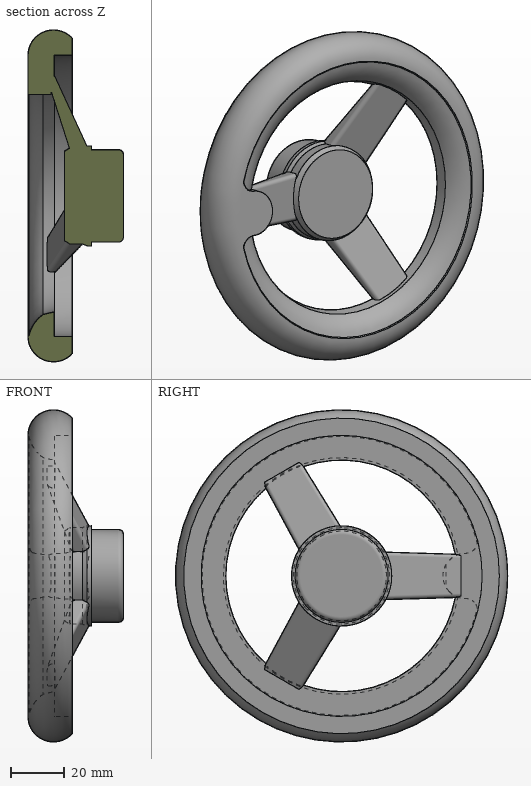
import cadquery as cq
import math


outer_radius = 62.5
rim_section_radius = 9.6
rim_centre_radius = outer_radius - rim_section_radius
rim_back = 16.7

step_width = 0.4
step_depth = 0.4
web_middle_x = 2.1
web_middle_radius = 48.2
bore_edge_x = 5.7
bore_edge_radius = 44.5
bore_radius = 43.5
web_back = 10.0

hub_front = 13.7
hub_back = 36.0
neck_radius = 18.1
front_chamfer_width = 1.2
front_chamfer_length = 2.0
neck_end = 20.5
flange_front = 22.2
flange_back = 24.0
flange_radius = 18.9
shank_radius = 17.5
shank_fillet = 2.0

spoke_count = 3
spoke_start = 11.2
spoke_end = 45.0
hub_half_width = 9.1
rim_half_width = 8.1
spoke_back_at_hub = flange_front
spoke_back_slope = 0.46
spoke_front_at_hub = 15.2
spoke_front_slope = 0.32
spoke_fillet = 1.5

boss_radius = 8.5
boss_centre = 46.6
boss_flare_radius = 4.5
boss_depth = 8.7


def make_rim():
    """Outer half of a round section, flat at the back, with a shallower web inside its crest."""
    back_radius = rim_centre_radius + math.sqrt(
        rim_section_radius**2 - (rim_back - rim_section_radius) ** 2
    )
    return (
        cq.Workplane("XY")
        .moveTo(0, rim_centre_radius)
        .threePointArc((rim_section_radius, outer_radius), (rim_back, back_radius))
        .lineTo(rim_back, rim_centre_radius)
        .lineTo(web_back, rim_centre_radius)
        .lineTo(web_back, bore_radius)
        .lineTo(bore_edge_x, bore_edge_radius)
        .threePointArc((web_middle_x, web_middle_radius), (step_depth, rim_centre_radius - step_width))
        .close()
        .revolve(360, (0, 0), (1, 0))
    )


def make_hub():
    """Turned hub: chamfered neck, flange and a shank with a rounded end."""
    hub = (
        cq.Workplane("XY")
        .moveTo(hub_front, 0)
        .lineTo(hub_front, neck_radius - front_chamfer_width)
        .lineTo(hub_front + front_chamfer_length, neck_radius)
        .lineTo(neck_end, neck_radius)
        .lineTo(flange_front, flange_radius)
        .lineTo(flange_back, flange_radius)
        .lineTo(flange_back, shank_radius)
        .lineTo(hub_back, shank_radius)
        .lineTo(hub_back, 0)
        .close()
        .revolve(360, (0, 0), (1, 0))
    )
    return hub.faces(">X").edges().fillet(shank_fillet)


def make_spoke():
    """Sloping spoke along +Y with its four long edges rounded."""

    def back_at(radius):
        return spoke_back_at_hub - spoke_back_slope * (radius - flange_radius)

    def front_at(radius):
        return spoke_front_at_hub - spoke_front_slope * (radius - flange_radius)

    side = (
        cq.Workplane("XY")
        .polyline([
            (back_at(spoke_start), spoke_start),
            (back_at(spoke_end), spoke_end),
            (front_at(spoke_end), spoke_end),
            (front_at(spoke_start), spoke_start),
        ])
        .close()
        .extrude(2 * hub_half_width, both=True)
    )
    taper = (
        cq.Workplane("YZ")
        .polyline([
            (spoke_start, -hub_half_width),
            (spoke_end, -rim_half_width),
            (spoke_end, rim_half_width),
            (spoke_start, hub_half_width),
        ])
        .close()
        .extrude(hub_back)
    )
    spoke = side.intersect(taper)
    return spoke.edges("not(|Z or >Y or <Y)").fillet(spoke_fillet)


def make_boss():
    """Flat-faced boss with a round nose, flaring out into the crest of the rim."""
    diagonal = boss_flare_radius * math.sqrt(0.5)
    flare_y = boss_centre + boss_flare_radius
    flare_z = boss_radius + boss_flare_radius
    crest_y = math.sqrt(rim_centre_radius**2 - flare_z**2)
    return (
        cq.Workplane("YZ")
        .moveTo(boss_centre, -boss_radius)
        .threePointArc((boss_centre - boss_radius, 0), (boss_centre, boss_radius))
        .threePointArc((boss_centre + diagonal, flare_z - diagonal), (flare_y, flare_z))
        .lineTo(crest_y, flare_z)
        .threePointArc((rim_centre_radius, 0), (crest_y, -flare_z))
        .lineTo(flare_y, -flare_z)
        .threePointArc((boss_centre + diagonal, diagonal - flare_z), (boss_centre, -boss_radius))
        .close()
        .extrude(boss_depth)
    )


result = make_rim().union(make_hub()).union(make_boss())
spoke = make_spoke()
for index in range(spoke_count):
    result = result.union(spoke.rotate((0, 0, 0), (1, 0, 0), index * 360 / spoke_count))